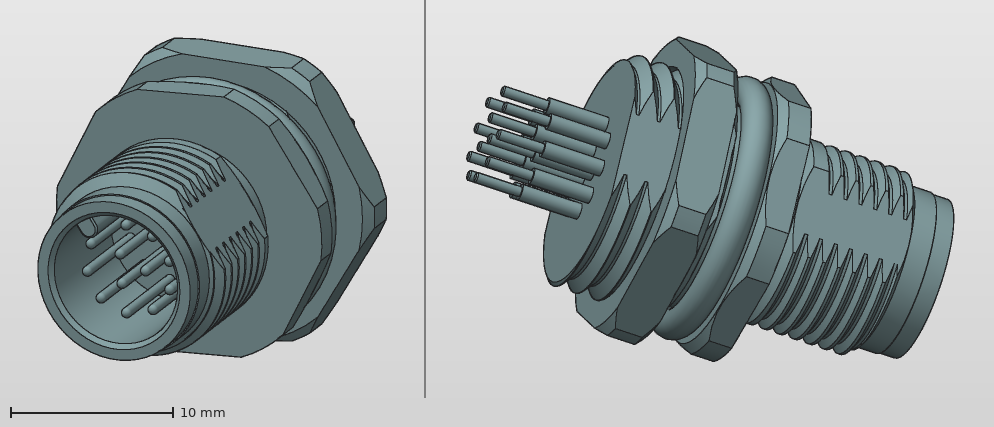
import cadquery as cq
import math

length = 29.2
housing_turn = 34.0

sleeve_radius = 5.25
lead_radius = 5.17
lead_length = 1.2
bore_radius = 4.18
bore_depth = 8.75
mouth_chamfer = 0.3

front_turns = 7
front_groove_length = 7.0
front_pitch = front_groove_length / front_turns
front_start = 2.65
front_end = 10.22
front_crest_radius = 6.02
front_root_radius = 5.5
front_root_width = 0.2
front_flank_angle = 30.0
front_groove_start = 2.25
front_flat_distance = 5.29

rear_turns = 5
rear_groove_length = 7.05
rear_pitch = rear_groove_length / rear_turns
rear_start = 15.35
rear_end = 22.25
rear_crest_radius = 7.6
rear_root_radius = 6.9
rear_root_width = 0.18
rear_flank_angle = 40.0
rear_groove_start = 16.12
rear_flat_distance = 6.6
thread_lead_in = 0.47
groove_overshoot = 0.015

flange_start = 11.18
flange_end = 13.23
flange_across_flats = 17.0
flange_radius = 9.0
flange_bevel = 0.53
hexagon_half_step = 30.0

pin_radius = 0.32
pin_tip_y = 2.0
pin_dome = 0.3
wire_chamfer = 0.1
barrel_diameter = 1.02
barrel_radius = barrel_diameter / 2
barrel_end = 26.2
outer_ring_radius = 2.9
outer_pin_count = 9
outer_pin_step = 37.6
inner_ring_radius = 1.1
inner_pin_count = 3
key_angle = 90.0

key_radius = 0.6
key_centre_radius = bore_radius - key_radius
key_end_y = 0.5
key_chamfer = 0.12
key_wall_overlap = 0.12

ring_section = 1.95
neck_radius = 6.55
neck_bevel = 0.15

nut_start = 16.3
nut_end = 19.15
nut_across_flats = 18.0
nut_width = 20.0
nut_radius = nut_width / 2
nut_bevel_radial = 0.58
nut_bevel_axial = 0.53


def turned(outline):
    """Solid of revolution about Y from (radius, y) points."""
    return cq.Workplane("XY").polyline(outline).close().revolve(360, (0, 0, 0), (0, 1, 0))


def rod(x, z, radius, y_start, y_end):
    """Cylinder parallel to Y."""
    return cq.Workplane("XZ", origin=(0, y_start, 0)).center(x, z).circle(radius).extrude(y_start - y_end)


def hexagon(across_flats, y_start, y_end):
    """Hexagonal prism along Y with two corners on the X axis."""
    corner_diameter = across_flats / math.cos(math.pi / 6)
    return cq.Workplane("XZ", origin=(0, y_start, 0)).polygon(6, corner_diameter).extrude(y_start - y_end)


def polar(radius, angle):
    """X and Z of a point around the Y axis, with the angle measured from +X towards +Z."""
    return radius * math.cos(math.radians(angle)), radius * math.sin(math.radians(angle))


def thread_groove(pitch, turns, y_start, root_radius, crest_radius, root_width, flank_angle):
    """Right-hand helical groove that begins and ends at the -X side."""
    outer_radius = crest_radius + groove_overshoot
    half_root = root_width / 2
    half_top = half_root + (outer_radius - root_radius) * math.tan(math.radians(flank_angle))
    helix = cq.Wire.makeHelix(pitch, pitch * turns, root_radius)
    groove = (
        cq.Workplane("XZ")
        .polyline([
            (root_radius, -half_root),
            (outer_radius, -half_top),
            (outer_radius, half_top),
            (root_radius, half_root),
        ])
        .close()
        .sweep(cq.Workplane(helix), isFrenet=True)
    )
    along_y = groove.rotate((0, 0, 0), (1, 0, 0), -90)
    return along_y.rotate((0, 0, 0), (0, 1, 0), 180).translate((0, y_start, 0))


def between_flats(distance, y_start, y_end):
    """Block that keeps what lies between two flats square to X."""
    span = y_end - y_start
    block_width = 4 * distance
    return cq.Workplane("XY").box(2 * distance, span, block_width).translate((0, y_start + span / 2, 0))


def front_threaded_sleeve():
    blank = turned([
        (0, front_start),
        (sleeve_radius, front_start),
        (front_crest_radius, front_start + thread_lead_in),
        (front_crest_radius, front_end - thread_lead_in),
        (sleeve_radius, front_end),
        (0, front_end),
    ])
    groove = thread_groove(
        front_pitch, front_turns, front_groove_start,
        front_root_radius, front_crest_radius, front_root_width, front_flank_angle,
    )
    return blank.cut(groove).intersect(between_flats(front_flat_distance, front_start, front_end))


def rear_threaded_body():
    run_off_end = rear_groove_start + rear_pitch * (rear_turns + 1)
    blank = turned([
        (0, rear_start),
        (rear_crest_radius - thread_lead_in, rear_start),
        (rear_crest_radius, rear_start + thread_lead_in),
        (rear_crest_radius, run_off_end),
        (0, run_off_end),
    ])
    groove = thread_groove(
        rear_pitch, rear_turns, rear_groove_start,
        rear_root_radius, rear_crest_radius, rear_root_width, rear_flank_angle,
    )
    return blank.cut(groove).intersect(between_flats(rear_flat_distance, rear_start, rear_end))


def flange():
    envelope = turned([
        (0, flange_start),
        (flange_radius, flange_start),
        (flange_radius, flange_end - flange_bevel),
        (flange_radius - flange_bevel, flange_end),
        (0, flange_end),
    ])
    prism = hexagon(flange_across_flats, flange_start, flange_end)
    return prism.rotate((0, 0, 0), (0, 1, 0), hexagon_half_step).intersect(envelope)


def socket_bore():
    return turned([
        (0, 0),
        (bore_radius + mouth_chamfer, 0),
        (bore_radius, mouth_chamfer),
        (bore_radius, bore_depth),
        (0, bore_depth),
    ])


def key_rib():
    key_x, key_z = polar(key_centre_radius, key_angle)
    wall_reach = key_radius + key_wall_overlap
    rib_length = bore_depth - key_end_y
    return (
        cq.Workplane("XZ", origin=(key_x, key_end_y, key_z))
        .moveTo(-key_radius, 0)
        .threePointArc((0, -key_radius), (key_radius, 0))
        .lineTo(key_radius, wall_reach)
        .lineTo(-key_radius, wall_reach)
        .close()
        .extrude(-rib_length)
        .faces("<Y")
        .chamfer(key_chamfer)
    )


def contact(x, z):
    """Domed pin in the socket joined through the body to a stepped wire end."""
    pin = rod(x, z, pin_radius, pin_tip_y, bore_depth).faces("<Y").edges().fillet(pin_dome)
    barrel = rod(x, z, barrel_radius, rear_end, barrel_end)
    wire = rod(x, z, pin_radius, barrel_end, length).faces(">Y").edges().chamfer(wire_chamfer)
    return [pin, barrel, wire]


def contact_places():
    half_sweep = outer_pin_step * (outer_pin_count - 1) / 2
    first_angle = key_angle + 180 - half_sweep
    outer = [polar(outer_ring_radius, first_angle + outer_pin_step * i) for i in range(outer_pin_count)]
    inner_step = 360 / inner_pin_count
    inner = [polar(inner_ring_radius, key_angle + inner_step * i) for i in range(inner_pin_count)]
    return outer + inner


def make_housing():
    core = turned([
        (0, 0),
        (lead_radius, 0),
        (lead_radius, lead_length),
        (sleeve_radius, lead_length),
        (sleeve_radius, flange_start),
        (neck_radius, flange_start),
        (neck_radius, rear_start - neck_bevel),
        (neck_radius + neck_bevel, rear_start),
        (0, rear_start),
    ])
    body = core.union(front_threaded_sleeve()).union(flange()).union(rear_threaded_body())
    body = body.cut(socket_bore()).union(key_rib())
    for x, z in contact_places():
        for piece in contact(x, z):
            body = body.union(piece)
    return body.rotate((0, 0, 0), (0, 1, 0), -housing_turn)


def make_sealing_ring():
    section_radius = ring_section / 2
    centre_radius = neck_radius + section_radius
    ring = (
        cq.Workplane("XY")
        .center(centre_radius, flange_end + section_radius)
        .circle(section_radius)
        .revolve(360, (-centre_radius, 0, 0), (-centre_radius, 1, 0))
    )
    return ring.rotate((0, 0, 0), (0, 1, 0), -housing_turn)


def make_nut():
    bevelled_radius = nut_radius - nut_bevel_radial
    envelope = turned([
        (rear_crest_radius, nut_start),
        (bevelled_radius, nut_start),
        (nut_radius, nut_start + nut_bevel_axial),
        (nut_radius, nut_end - nut_bevel_axial),
        (bevelled_radius, nut_end),
        (rear_crest_radius, nut_end),
    ])
    return hexagon(nut_across_flats, nut_start, nut_end).intersect(envelope)


housing = make_housing()
sealing_ring = make_sealing_ring()
nut = make_nut()

result = cq.Compound.makeCompound([
    housing.solids().val(),
    sealing_ring.solids().val(),
    nut.solids().val(),
])